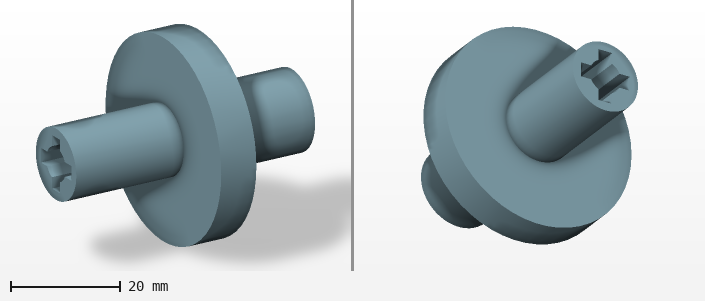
import cadquery as cq

total_length = 50.5
disc_diameter = 40.0
disc_thickness = 7.5
rear_shaft_diameter = 16.0
rear_shaft_length = 20.0
front_shaft_diameter = 14.0
front_shaft_length = total_length - disc_thickness - rear_shaft_length

socket_span = 10.5
socket_slot_width = 2.9
socket_core_diameter = 6.7
socket_depth = front_shaft_length


def cylinder_along_y(diameter, start_y, length):
    """Solid cylinder about the Y axis, running toward +Y from start_y."""
    plane = cq.Plane(origin=(0, start_y, 0), xDir=(1, 0, 0), normal=(0, 1, 0))
    return cq.Workplane(plane).circle(diameter / 2).extrude(length)


def cross_socket(start_y, depth):
    """Round core with four square-ended slots, running toward +Y."""
    socket = cylinder_along_y(socket_core_diameter, start_y, depth)
    for width, height in ((socket_span, socket_slot_width), (socket_slot_width, socket_span)):
        slot = cq.Workplane("XY").box(width, depth, height, centered=(True, False, True))
        socket = socket.union(slot.translate((0, start_y, 0)))
    return socket


front_shaft = cylinder_along_y(front_shaft_diameter, -front_shaft_length, front_shaft_length)
disc = cylinder_along_y(disc_diameter, 0, disc_thickness)
rear_shaft = cylinder_along_y(rear_shaft_diameter, disc_thickness, rear_shaft_length)

body = disc.union(front_shaft).union(rear_shaft)
result = body.cut(cross_socket(-front_shaft_length, socket_depth))